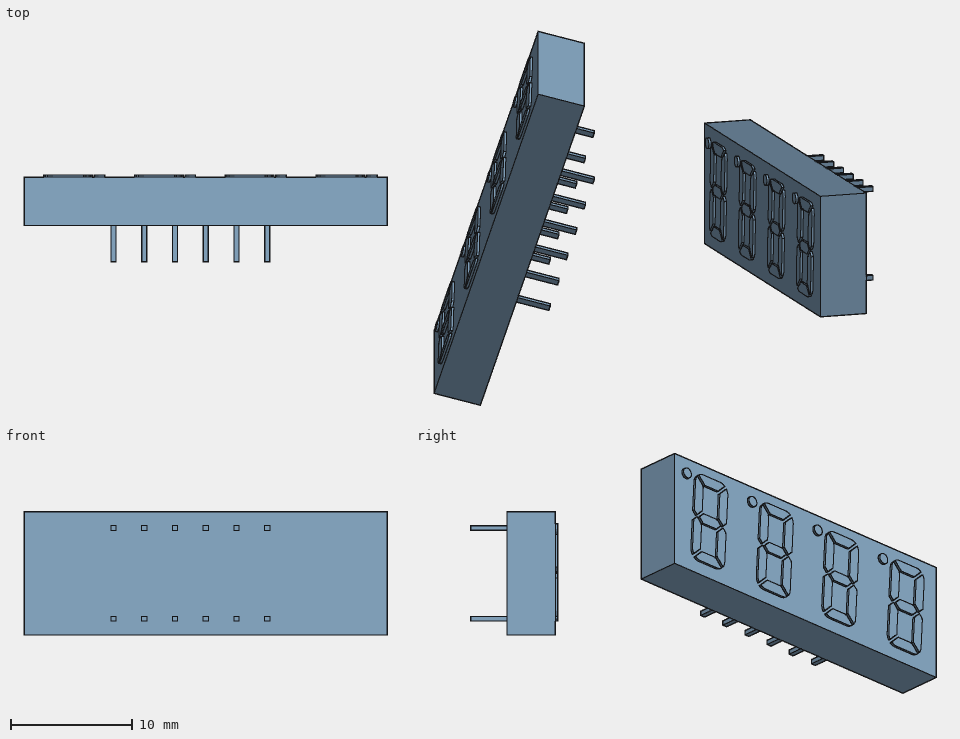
import cadquery as cq
import math

body_width = 30.0
body_depth = 4.0
body_height = 10.2

pin_width = 0.45
pin_height = 0.4
pin_length = 3.0
pin_pitch = 2.54
pins_per_row = 6
pins_left_of_center = 3
first_pin_x = -pins_left_of_center * pin_pitch
row_spacing = 7.5

digit_count = 4
digit_pitch = 7.5
digit_offset_x = -0.13
digit_center_z = 0.08
digit_width = 3.7
digit_height = 8.06
corner_radius = 0.9
segment_width = 0.9
segment_gap = 0.25
segment_raise = 0.2
slant_angle = 3.2
slant = math.tan(math.radians(slant_angle))

dot_diameter = 0.9
dot_offset_x = 2.6


def face_plane(y):
    """XZ sketch plane at depth y, extruding toward +Y (local x is -X)."""
    return cq.Plane(origin=(0, y, 0), xDir=(-1, 0, 0), normal=(0, 1, 0))


def slanted(x, z):
    """Digit point leaned toward -X at the top, in face-plane coordinates."""
    return (slant * z - x, z)


def slanted_box(half_width, half_height):
    """Centered block whose upright sides follow the digit slant."""
    corners = [(-1, -1), (1, -1), (1, 1), (-1, 1)]
    points = [slanted(sx * half_width, sz * half_height) for sx, sz in corners]
    return cq.Workplane(face_plane(0)).polyline(points).close().extrude(segment_raise)


def gap_strip(start, end):
    """Narrow cutter that separates two neighbouring segments."""
    (x1, z1), (x2, z2) = slanted(*start), slanted(*end)
    angle = math.degrees(math.atan2(z2 - z1, x2 - x1))
    return (
        cq.Workplane(face_plane(0))
        .center((x1 + x2) / 2, (z1 + z2) / 2)
        .transformed(rotate=(0, 0, angle))
        .rect(math.hypot(x2 - x1, z2 - z1), segment_gap)
        .extrude(segment_raise)
    )


def make_digit():
    """Slanted figure eight, split into seven segments by diagonal gaps."""
    half_width = digit_width / 2
    half_height = digit_height / 2
    half_segment = segment_width / 2
    window_half_width = half_width - segment_width
    window_height = half_height - segment_width - half_segment
    window_center = half_segment + window_height / 2

    digit = slanted_box(half_width, half_height).edges("|Y").fillet(corner_radius)
    window = slanted_box(window_half_width, window_height / 2)
    for side in (-1, 1):
        z = side * window_center
        digit = digit.cut(window.translate((-slant * z, 0, z)))

    joint_x = half_width - half_segment
    inner_x = window_half_width - segment_gap
    for sx in (-1, 1):
        for sz in (-1, 1):
            outer = (sx * half_width, sz * half_height)
            inner = (sx * inner_x, sz * (half_height - segment_width - segment_gap))
            digit = digit.cut(gap_strip(outer, inner))
            tip = (sx * joint_x, 0)
            shoulder = (sx * inner_x, sz * (half_segment + segment_gap))
            digit = digit.cut(gap_strip(tip, shoulder))
        notch_x = sx * (half_width + segment_gap)
        notch_half_height = half_segment + segment_gap
        notch = [
            slanted(sx * joint_x, 0),
            slanted(notch_x, notch_half_height),
            slanted(notch_x, -notch_half_height),
        ]
        digit = digit.cut(cq.Workplane(face_plane(0)).polyline(notch).close().extrude(segment_raise))
    return digit


def make_body():
    """Block whose +Y face, carrying the digits, lies at y = 0."""
    return cq.Workplane("XY").box(body_width, body_depth, body_height).translate((0, -body_depth / 2, 0))


def make_pins():
    """Two rows of rectangular pins standing out of the -Y face."""
    centers = [
        (-(first_pin_x + i * pin_pitch), side * row_spacing / 2)
        for i in range(pins_per_row)
        for side in (-1, 1)
    ]
    return (
        cq.Workplane(face_plane(-body_depth - pin_length))
        .pushPoints(centers)
        .rect(pin_width, pin_height)
        .extrude(pin_length)
    )


def make_dot():
    """Round decimal point beside the digit, flush with its top edge."""
    dot_z = (digit_height - dot_diameter) / 2
    return (
        cq.Workplane(face_plane(0))
        .center(-dot_offset_x, dot_z)
        .circle(dot_diameter / 2)
        .extrude(segment_raise)
    )


result = make_body().union(make_pins())
digit = make_digit()
dot = make_dot()
for i in range(digit_count):
    digit_x = (i - (digit_count - 1) / 2) * digit_pitch + digit_offset_x
    position = (digit_x, 0, digit_center_z)
    result = result.union(digit.translate(position)).union(dot.translate(position))